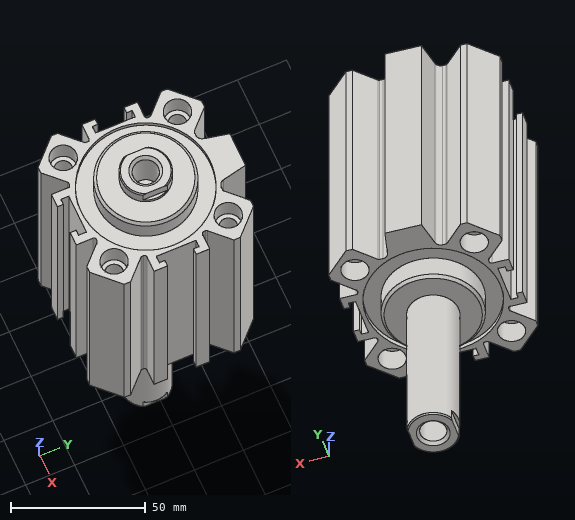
import cadquery as cq
import math

TOTAL_LENGTH = 188.0
PROFILE_LENGTH = 100.0
CAP_TO_CAP = 116.0
ROD_TOP_PROJECTION = 6.0

cap_height = (CAP_TO_CAP - PROFILE_LENGTH) / 2
profile_top = TOTAL_LENGTH - ROD_TOP_PROJECTION - cap_height
profile_bottom = profile_top - PROFILE_LENGTH
profile_middle = (profile_top + profile_bottom) / 2

PROFILE_WIDTH = 67.0
CORE_WIDTH = 51.3
LUG_WIDTH = 17.5
LUG_END_DISTANCE = 40.5
RAIL_WIDTH = 22.7
SIDE_RAIL_HEIGHT = 33.0
SLOT_FLOOR_HEIGHT = 27.8
SLOT_WIDTH = 16.2
SLOT_OPENING = 11.7
HOOK_THICKNESS = 2.5
NOTCH_RADIUS = 1.0

RIB_HEIGHT = 37.6
RIB_TOP_WIDTH = 14.3
RIB_ROOT_WIDTH = 19.4
RIB_FILLET = 2.5

HOLE_OFFSET = 23.3
HOLE_DIAMETER = 7.0
COUNTERBORE_DIAMETER = 10.5
COUNTERBORE_DEPTH = 10.0
RECESS_DIAMETER = 52.5
RECESS_DEPTH = 2.0
CAP_DIAMETER = 39.0
CAP_CHAMFER = 1.1

ROD_DIAMETER = 20.0
ROD_CHAMFER = 0.5
FLATS_WIDTH = 17.3
FLATS_LENGTH = 4.5
SOCKET_DIAMETER = 10.2
SOCKET_MOUTH_DIAMETER = 12.6
SOCKET_DEPTH = 18.8

core_half = CORE_WIDTH / 2


def profile_plane():
    """Workplane on the lower end of the profile."""
    return cq.Workplane("XY").workplane(offset=profile_bottom)


def profile_bar(width, depth):
    """Rectangular bar over the whole profile length."""
    return profile_plane().rect(width, depth).extrude(PROFILE_LENGTH)


def turned(shape, angle):
    """Shape turned about the main axis."""
    return shape.rotate((0, 0, 0), (0, 0, 1), angle)


def corner_lugs():
    """Two crossed diagonal bars, their corners cut flat by the profile square."""
    bar = profile_bar(2 * LUG_END_DISTANCE, LUG_WIDTH)
    cross = turned(bar, 45).union(turned(bar, -45))
    return cross.intersect(profile_bar(PROFILE_WIDTH, PROFILE_WIDTH))


def slot_rail(height, angle):
    """T-slot rail built on the -Y side, then turned about Z."""
    outer = RAIL_WIDTH / 2
    slot = SLOT_WIDTH / 2
    opening = SLOT_OPENING / 2
    hook_top = height - HOOK_THICKNESS
    right_side = [
        (slot, -SLOT_FLOOR_HEIGHT),
        (slot, -hook_top),
        (opening, -hook_top),
        (opening, -height),
        (outer, -height),
        (outer, 0),
    ]
    left_side = [(-x, y) for x, y in reversed(right_side)]
    rail = profile_plane().polyline(right_side + left_side).close().extrude(PROFILE_LENGTH)
    return turned(rail, angle)


def tapered_rib():
    """Solid rib on the +Y side that narrows outward."""
    outline = [
        (-RIB_ROOT_WIDTH / 2, core_half),
        (-RIB_TOP_WIDTH / 2, RIB_HEIGHT),
        (RIB_TOP_WIDTH / 2, RIB_HEIGHT),
        (RIB_ROOT_WIDTH / 2, core_half),
    ]
    return profile_plane().polyline(outline).close().extrude(PROFILE_LENGTH)


def fillet_roots(body, radius, x, y):
    """Round the lengthwise edges at (x, y) and (-x, y)."""
    tolerance = 0.02
    for side in (-1, 1):
        corner = cq.Vector(side * x, y, profile_middle)
        box = cq.selectors.BoxSelector(
            (corner.x - tolerance, corner.y - tolerance, corner.z - tolerance),
            (corner.x + tolerance, corner.y + tolerance, corner.z + tolerance),
        )
        body = body.edges(box).fillet(radius)
    return body


def make_profile():
    """Core with lugs, three slot rails and the rib, with rounded notches."""
    body = profile_bar(CORE_WIDTH, CORE_WIDTH).union(corner_lugs())
    body = body.union(slot_rail(PROFILE_WIDTH / 2, 0))
    for angle in (90, -90):
        body = body.union(slot_rail(SIDE_RAIL_HEIGHT, angle))
    body = body.union(tapered_rib())

    lug_root = core_half - LUG_WIDTH / math.sqrt(2)
    rail_root = RAIL_WIDTH / 2
    for root in (rail_root, lug_root):
        body = fillet_roots(body, NOTCH_RADIUS, root, -core_half)
        body = fillet_roots(body, NOTCH_RADIUS, core_half, root)
        body = fillet_roots(body, NOTCH_RADIUS, core_half, -root)
    body = fillet_roots(body, NOTCH_RADIUS, lug_root, core_half)
    return fillet_roots(body, RIB_FILLET, RIB_ROOT_WIDTH / 2, core_half)


def cylinder(diameter, bottom, height):
    """Upright cylinder on the main axis."""
    return cq.Workplane("XY").workplane(offset=bottom).circle(diameter / 2).extrude(height)


def cut_end_recesses(body):
    """Shallow round recess in both end faces."""
    for bottom in (profile_top - RECESS_DEPTH, profile_bottom):
        body = body.cut(cylinder(RECESS_DIAMETER, bottom, RECESS_DEPTH))
    return body


def hole_pattern(diameter, bottom, height):
    """Four upright cylinders, one on each lug's hole axis."""
    spacing = 2 * HOLE_OFFSET
    plane = cq.Workplane("XY").workplane(offset=bottom)
    return plane.rarray(spacing, spacing, 2, 2).circle(diameter / 2).extrude(height)


def cut_mounting_holes(body):
    """Through hole in each lug, counterbored from both ends."""
    body = body.cut(hole_pattern(HOLE_DIAMETER, profile_bottom, PROFILE_LENGTH))
    for bottom in (profile_top - COUNTERBORE_DEPTH, profile_bottom):
        body = body.cut(hole_pattern(COUNTERBORE_DIAMETER, bottom, COUNTERBORE_DEPTH))
    return body


def make_housing():
    """Profile with its two end caps and the bore that holds the rod."""
    body = cut_mounting_holes(cut_end_recesses(make_profile()))
    caps = cylinder(CAP_DIAMETER, profile_bottom - cap_height, CAP_TO_CAP)
    caps = caps.faces("<Z or >Z").edges().chamfer(CAP_CHAMFER)
    rod_bore = cylinder(ROD_DIAMETER, 0, TOTAL_LENGTH)
    return body.union(caps).cut(rod_bore)


def wrench_flats(bottom):
    """Material outside the two flats at one rod end."""
    oversize = 2 * ROD_DIAMETER
    end = cq.Workplane("XY").workplane(offset=bottom)
    block = end.rect(oversize, oversize).extrude(FLATS_LENGTH)
    between_flats = end.rect(FLATS_WIDTH, oversize).extrude(FLATS_LENGTH)
    return block.cut(between_flats)


def end_socket():
    """Blind hole with a 45 degree mouth, opening at the upper rod end."""
    mouth_depth = (SOCKET_MOUTH_DIAMETER - SOCKET_DIAMETER) / 2
    outline = [
        (0, TOTAL_LENGTH),
        (SOCKET_MOUTH_DIAMETER / 2, TOTAL_LENGTH),
        (SOCKET_DIAMETER / 2, TOTAL_LENGTH - mouth_depth),
        (SOCKET_DIAMETER / 2, TOTAL_LENGTH - SOCKET_DEPTH),
        (0, TOTAL_LENGTH - SOCKET_DEPTH),
    ]
    return cq.Workplane("XZ").polyline(outline).close().revolve(360, (0, 0), (0, 1))


def make_rod():
    """Through rod with wrench flats and a socket at both ends."""
    rod = cylinder(ROD_DIAMETER, 0, TOTAL_LENGTH)
    rod = rod.faces("<Z or >Z").edges().chamfer(ROD_CHAMFER)
    for bottom in (TOTAL_LENGTH - FLATS_LENGTH, 0):
        rod = rod.cut(wrench_flats(bottom))
    upper_socket = end_socket()
    lower_socket = upper_socket.mirror("XY", (0, 0, TOTAL_LENGTH / 2))
    return rod.cut(upper_socket).cut(lower_socket)


housing = make_housing()
rod = make_rod()
result = cq.Compound.makeCompound([housing.val(), rod.val()])